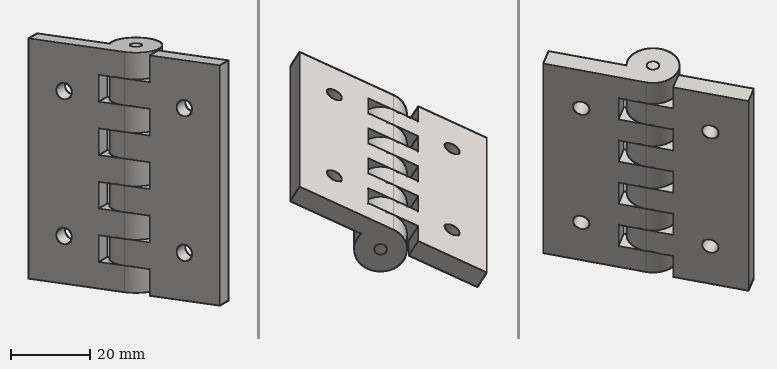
import cadquery as cq

HEIGHT = 63.5
WIDTH = 54.0
KNUCKLE_DIAMETER = 13.45
LEAF_THICKNESS = 5.0
PIN_DIAMETER = 3.2
KNUCKLE_COUNT = 9
NOTCH_DEPTH = 7.2
HOLE_DIAMETER = 4.3
HOLE_SPACING_X = 33.9
HOLE_SPACING_Z = 38.2

KNUCKLE_RADIUS = KNUCKLE_DIAMETER / 2
KNUCKLE_HEIGHT = HEIGHT / KNUCKLE_COUNT
LEAF_WIDTH = WIDTH / 2
BOTTOM = -HEIGHT / 2
FRONT = -KNUCKLE_RADIUS
LEFT = -1
RIGHT = 1


def make_plate(side, inner_edge, base, height):
    """Flat stretch of a leaf, from inner_edge to the outer edge on one side."""
    length = LEAF_WIDTH - inner_edge
    middle = side * (inner_edge + length / 2)
    return (
        cq.Workplane("XY", origin=(middle, FRONT + LEAF_THICKNESS / 2, base))
        .box(length, LEAF_THICKNESS, height, centered=(True, True, False))
    )


def make_finger(side, base):
    """One knuckle barrel and the tongue that ties it to its leaf."""
    barrel = cq.Workplane("XY", origin=(0, 0, base)).circle(KNUCKLE_RADIUS).extrude(KNUCKLE_HEIGHT)
    return barrel.union(make_plate(side, 0, base, KNUCKLE_HEIGHT))


def make_screw_holes(side):
    """Cutters for the two screw holes through a leaf."""
    x = side * HOLE_SPACING_X / 2
    return (
        cq.Workplane("XZ", origin=(0, FRONT, 0))
        .pushPoints([(x, -HOLE_SPACING_Z / 2), (x, HOLE_SPACING_Z / 2)])
        .circle(HOLE_DIAMETER / 2)
        .extrude(-LEAF_THICKNESS)
    )


def make_pin():
    """Hinge pin, flush with both ends of the knuckles."""
    return cq.Workplane("XY", origin=(0, 0, BOTTOM)).circle(PIN_DIAMETER / 2).extrude(HEIGHT)


def make_leaf(side, first_knuckle):
    """Leaf carrying every second knuckle, counted up from first_knuckle."""
    leaf = make_plate(side, NOTCH_DEPTH, BOTTOM, HEIGHT)
    for index in range(first_knuckle, KNUCKLE_COUNT, 2):
        leaf = leaf.union(make_finger(side, BOTTOM + index * KNUCKLE_HEIGHT))
    return leaf.cut(make_pin()).cut(make_screw_holes(side))


left_leaf = make_leaf(LEFT, 0)
right_leaf = make_leaf(RIGHT, 1)
pin = make_pin()

result = cq.Compound.makeCompound([left_leaf.solids().val(), right_leaf.solids().val(), pin.val()])